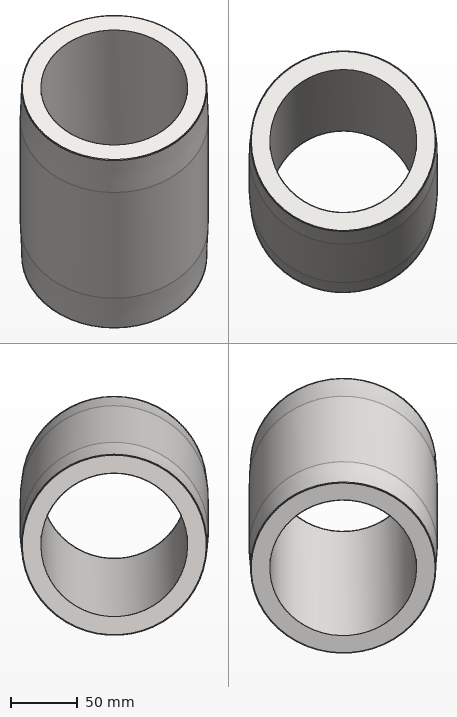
import cadquery as cq

length = 203.2
outer_diameter = 141.2
bore_diameter = 110.1
taper_length = 37.8
taper_drop = 1.0
edge_chamfer = 0.6

half_length = length / 2
outer_radius = outer_diameter / 2
bore_radius = bore_diameter / 2
straight_half = half_length - taper_length
rim_radius = outer_radius - taper_drop
rim_height = half_length - edge_chamfer
face_radius = rim_radius - edge_chamfer

wall_section = (
    cq.Workplane("XZ")
    .moveTo(-bore_radius, -half_length)
    .lineTo(-face_radius, -half_length)
    .lineTo(-rim_radius, -rim_height)
    .lineTo(-outer_radius, -straight_half)
    .lineTo(-outer_radius, straight_half)
    .lineTo(-rim_radius, rim_height)
    .lineTo(-face_radius, half_length)
    .lineTo(-bore_radius, half_length)
    .close()
)

result = wall_section.revolve(360, (0, 0, 0), (0, 1, 0))